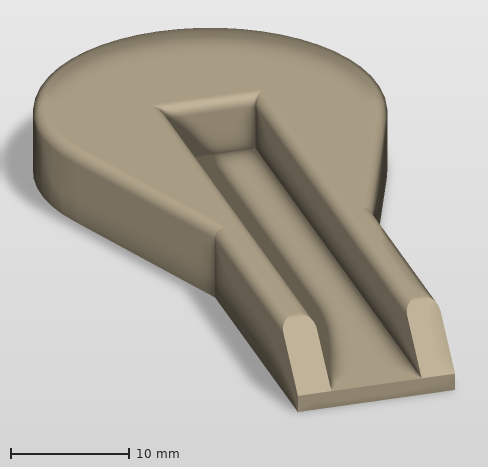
import cadquery as cq
import math

length = 61.2
height = 6.5
head_radius = 15.0
shoulder_x = 5.9
neck_x = 23.2
handle_width = 13.95
slot_width = 8.0
floor_thickness = 1.5
edge_radius = 1.0

handle_end = length - head_radius
half_handle = handle_width / 2
bevel = height - floor_thickness

shoulder_y = math.sqrt(head_radius**2 - shoulder_x**2)


def make_body():
    """Paddle outline with a round head, tapered shoulders and a straight handle."""
    return (
        cq.Workplane("XY")
        .moveTo(shoulder_x, shoulder_y)
        .threePointArc((-head_radius, 0), (shoulder_x, -shoulder_y))
        .lineTo(neck_x, -half_handle)
        .lineTo(handle_end, -half_handle)
        .lineTo(handle_end, half_handle)
        .lineTo(neck_x, half_handle)
        .close()
        .extrude(height)
    )


def make_slot():
    """Straight slot from the head centre out through the handle tip."""
    return (
        cq.Workplane("XY", origin=(0, 0, floor_thickness))
        .rect(handle_end, slot_width)
        .extrude(bevel)
        .translate((handle_end / 2, 0, 0))
    )


body = make_body().faces(">X").edges(">Z").chamfer(bevel)
body = body.cut(make_slot())
result = body.faces(">Z").edges().fillet(edge_radius)